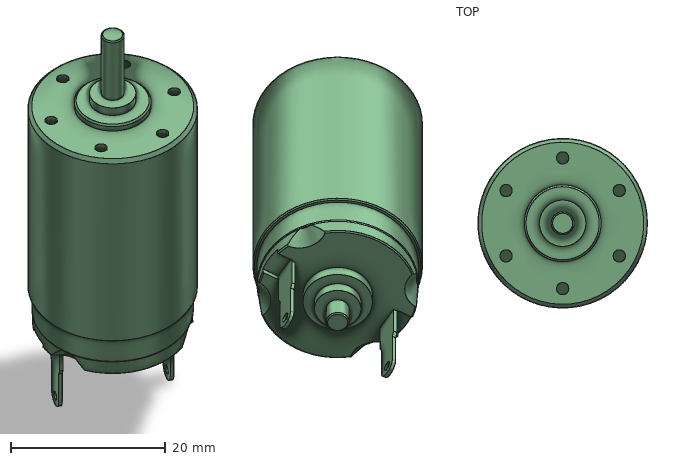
import cadquery as cq
import math

TOTAL_HEIGHT = 60.8
CAN_BOTTOM_Z = 17.75
CAN_TOP_Z = 48.6
COLLAR_BOTTOM_Z = 13.8
CAP_BOTTOM_Z = 11.7
REAR_BOSS_BOTTOM_Z = 10.15
REAR_BEARING_BOTTOM_Z = 8.7
REAR_SHAFT_BOTTOM_Z = 5.8
PILOT_TOP_Z = 49.55
FRONT_BEARING_TOP_Z = 50.8

CAN_DIA = 22.0
COLLAR_DIA = 21.0
CAP_DIA = 20.8
PILOT_DIA = 10.0
REAR_BOSS_DIA = 9.0
BEARING_DIA = 6.0
SHAFT_DIA = 3.0

CAN_CHAMFER = 0.5
PILOT_CHAMFER = 0.25
SHAFT_CHAMFER = 0.2
REAR_EDGE_CHAMFER = 0.2
COLLAR_TAPER_HEIGHT = 0.2

MOUNT_HOLE_COUNT = 6
MOUNT_HOLE_DIA = 1.6
MOUNT_CIRCLE_DIA = 16.95
MOUNT_HOLE_DEPTH = 2.45

NOTCH_TOP_DIA = 4.1
NOTCH_BOTTOM_DIA = 7.1
NOTCH_AXIS_RADIUS = 12.3
NOTCH_ANGLE = 55.0

TERMINAL_OFFSET = 7.69
TERMINAL_THICKNESS = 0.5
TERMINAL_ROOT_WIDTH = 3.4
TERMINAL_TIP_WIDTH = 2.75
TERMINAL_SHOULDER_Z = 7.05
TERMINAL_NECK_Z = 6.25
TERMINAL_HOLE_DIA = 1.2
TERMINAL_HOLE_Z = 1.5
SLOT_WIDTH = 3.65
SLOT_TOP_Z = 12.4


def cylinder(diameter, bottom, top):
    return cq.Workplane("XY").workplane(offset=bottom).circle(diameter / 2).extrude(top - bottom)


def cone(bottom_diameter, top_diameter, bottom, top):
    return (
        cq.Workplane("XY")
        .workplane(offset=bottom)
        .circle(bottom_diameter / 2)
        .workplane(offset=top - bottom)
        .circle(top_diameter / 2)
        .loft(ruled=True)
    )


def make_can():
    can = cylinder(CAN_DIA, CAN_BOTTOM_Z, CAN_TOP_Z).faces(">Z").chamfer(CAN_CHAMFER)
    can = can.faces("<Z").chamfer(REAR_EDGE_CHAMFER)
    holes = (
        cq.Workplane("XY")
        .workplane(offset=CAN_TOP_Z)
        .polarArray(MOUNT_CIRCLE_DIA / 2, 90, 360, MOUNT_HOLE_COUNT)
        .circle(MOUNT_HOLE_DIA / 2)
        .extrude(-MOUNT_HOLE_DEPTH)
    )
    return can.cut(holes)


def make_end_cap():
    cap = cylinder(CAP_DIA, CAP_BOTTOM_Z, COLLAR_BOTTOM_Z).faces("<Z").chamfer(REAR_EDGE_CHAMFER)

    notch = cone(NOTCH_BOTTOM_DIA, NOTCH_TOP_DIA, CAP_BOTTOM_Z, COLLAR_BOTTOM_Z)
    notch_x = NOTCH_AXIS_RADIUS * math.cos(math.radians(NOTCH_ANGLE))
    notch_y = NOTCH_AXIS_RADIUS * math.sin(math.radians(NOTCH_ANGLE))
    slot_length = CAP_DIA / 2
    slot_start = TERMINAL_OFFSET + TERMINAL_THICKNESS / 2
    slot_height = SLOT_TOP_Z - CAP_BOTTOM_Z
    slot = cq.Workplane("XY").box(SLOT_WIDTH, slot_length, slot_height, centered=(True, True, False))
    for side in (-1, 1):
        cap = cap.cut(slot.translate((0, side * (slot_start + slot_length / 2), CAP_BOTTOM_Z)))
        for end in (-1, 1):
            cap = cap.cut(notch.translate((end * notch_x, side * notch_y, 0)))
    return cap


def make_terminal(side):
    root = TERMINAL_ROOT_WIDTH / 2
    tip = TERMINAL_TIP_WIDTH / 2
    return (
        cq.Workplane("XZ")
        .moveTo(-root, COLLAR_BOTTOM_Z)
        .lineTo(-root, TERMINAL_SHOULDER_Z)
        .lineTo(-tip, TERMINAL_NECK_Z)
        .lineTo(-tip, tip)
        .threePointArc((0, 0), (tip, tip))
        .lineTo(tip, TERMINAL_NECK_Z)
        .lineTo(root, TERMINAL_SHOULDER_Z)
        .lineTo(root, COLLAR_BOTTOM_Z)
        .close()
        .moveTo(0, TERMINAL_HOLE_Z)
        .circle(TERMINAL_HOLE_DIA / 2)
        .extrude(TERMINAL_THICKNESS / 2, both=True)
        .translate((0, side * TERMINAL_OFFSET, 0))
    )


collar_taper_top = COLLAR_BOTTOM_Z + COLLAR_TAPER_HEIGHT
collar = cylinder(COLLAR_DIA, collar_taper_top, CAN_BOTTOM_Z)
collar = collar.union(cone(CAP_DIA, COLLAR_DIA, COLLAR_BOTTOM_Z, collar_taper_top))
pilot = cylinder(PILOT_DIA, CAN_TOP_Z, PILOT_TOP_Z).faces(">Z").chamfer(PILOT_CHAMFER)
rear_boss = cylinder(REAR_BOSS_DIA, REAR_BOSS_BOTTOM_Z, CAP_BOTTOM_Z)
front_bearing = cylinder(BEARING_DIA, PILOT_TOP_Z, FRONT_BEARING_TOP_Z)
rear_bearing = cylinder(BEARING_DIA, REAR_BEARING_BOTTOM_Z, REAR_BOSS_BOTTOM_Z)
shaft = cylinder(SHAFT_DIA, REAR_SHAFT_BOTTOM_Z, TOTAL_HEIGHT).faces("<Z or >Z").chamfer(SHAFT_CHAMFER)

result = make_can().union(collar).union(make_end_cap())
for turned_part in (pilot, front_bearing, rear_boss, rear_bearing, shaft):
    result = result.union(turned_part)
for terminal_side in (-1, 1):
    result = result.union(make_terminal(terminal_side))